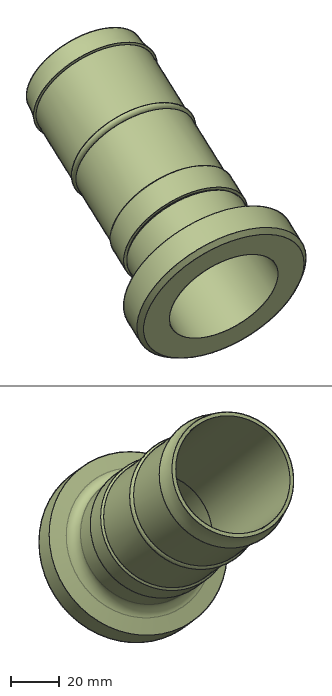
import cadquery as cq
import math


total_length = 127.0
bore_radius = 50.0 / 2
tube_radius = 55.0 / 2
rib_radius = 57.0 / 2
joint_x = 92.2

tip_radius = 53.3 / 2
barb_length = 10.2
barb_back_length = 0.4
bead_center_x = 45.1
bead_width = 3.3
collar_start_x = 79.9
collar_chamfer = 0.8

flange_radius = 78.0 / 2
joint_bevel_radius = 54.0 / 2
joint_bevel_length = 0.8
neck_fillet_start_x = 106.7
neck_fillet_radius = 5.1
flange_back_angle = math.radians(8)
rim_chamfer = 2.0


def revolve_about_x(profile):
    return profile.close().revolve(360, (0, 0, 0), (1, 0, 0))


def make_hose_tail():
    bead_start_x = bead_center_x - bead_width / 2
    bead_end_x = bead_center_x + bead_width / 2
    profile = (
        cq.Workplane("XY")
        .moveTo(0, bore_radius)
        .lineTo(0, tip_radius)
        .radiusArc((barb_length, rib_radius), -barb_flare_radius())
        .lineTo(barb_length + barb_back_length, tube_radius)
        .lineTo(bead_start_x, tube_radius)
        .threePointArc((bead_center_x, rib_radius), (bead_end_x, tube_radius))
        .lineTo(collar_start_x - collar_chamfer, tube_radius)
        .lineTo(collar_start_x, rib_radius)
        .lineTo(joint_x, rib_radius)
        .lineTo(joint_x, bore_radius)
    )
    return revolve_about_x(profile)


def barb_flare_radius():
    """Radius of the flare arc that leaves the tip parallel to the axis."""
    rise = rib_radius - tip_radius
    return (barb_length**2 + rise**2) / (2 * rise)


def make_flanged_neck():
    fillet_end_x = neck_fillet_start_x + neck_fillet_radius * math.cos(flange_back_angle)
    fillet_end_radius = tube_radius + neck_fillet_radius * (1 - math.sin(flange_back_angle))
    flange_start_x = fillet_end_x + (flange_radius - fillet_end_radius) * math.tan(flange_back_angle)
    profile = (
        cq.Workplane("XY")
        .moveTo(joint_x, bore_radius)
        .lineTo(joint_x, joint_bevel_radius)
        .lineTo(joint_x + joint_bevel_length, tube_radius)
        .lineTo(neck_fillet_start_x, tube_radius)
        .radiusArc((fillet_end_x, fillet_end_radius), -neck_fillet_radius)
        .lineTo(flange_start_x, flange_radius)
        .lineTo(total_length - rim_chamfer, flange_radius)
        .lineTo(total_length, flange_radius - rim_chamfer)
        .lineTo(total_length, bore_radius)
    )
    return revolve_about_x(profile)


hose_tail = make_hose_tail()
flanged_neck = make_flanged_neck()

result = cq.Compound.makeCompound([hose_tail.val(), flanged_neck.val()])